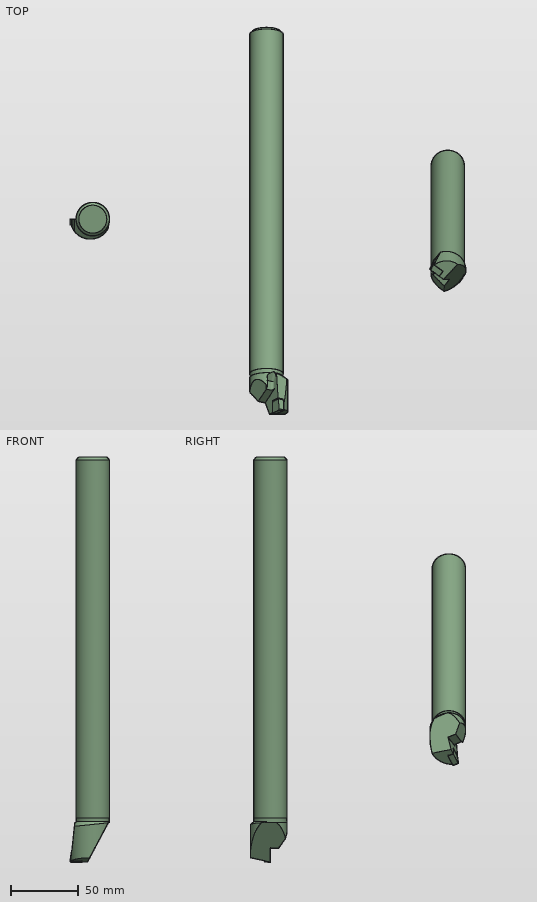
import cadquery as cq
import math

total_length = 301.2
shank_diameter = 25.0
shank_radius = shank_diameter / 2
end_chamfer = 2.0

neck_diameter = 24.7
neck_bottom = 29.8
neck_top = 33.0

head_radius = 14.9
head_offset = 1.8
shoulder_top = 30.5
shoulder_drop = 0.85
shoulder_outer_radius = 19.5
flank_top_x, flank_top_z = -13.5, 28.5
flank_low_x, flank_low_z = -16.3, 2.7
back_top_x, back_top_z = 12.7, 31.5
back_low_x, back_low_z = -3.0, 2.0
bottom_height = 0.3
bottom_rise = 0.22

flute_width = 6.3
flute_floor_x = -9.0
flute_mouth_x, flute_mouth_z = -12.5, 31.3
flute_floor_top = 24.5
flute_floor_bottom = 17.5
flute_exit_x, flute_exit_z = 1.5, 10.8
flute_fillet = 1.8

relief_point = (flute_exit_x, flute_width, flute_exit_z)
relief_normal = (-2.7, 7.8, -4.0)

insert_tip_x = -17.02
insert_size = 9.0
insert_thickness = 4.5
insert_nose = 1.0
insert_lean = 1.2
insert_relief = 7.0
clearance_height = 1.0

span = 120.5


def line_at(z, low, high):
    """X of the straight line through two (x, z) points, at height z."""
    return low[0] + (high[0] - low[0]) * (z - low[1]) / (high[1] - low[1])


def side_prism(points, y_start, y_end):
    """Prism with an (x, z) outline, reaching from y_start to y_end."""
    return (
        cq.Workplane("XZ", origin=(0, y_end, 0))
        .polyline(points).close()
        .extrude(y_end - y_start)
    )


def head_side_outline():
    """Flank and back slopes of the head, carried past its bottom and up into the neck."""
    flank = ((flank_low_x, flank_low_z), (flank_top_x, flank_top_z))
    back = ((back_low_x, back_low_z), (back_top_x, back_top_z))
    return [
        (line_at(0, *flank), 0),
        (line_at(0, *back), 0),
        (back_top_x, back_top_z),
        (shank_radius, neck_top),
        (line_at(neck_top, *flank), neck_top),
    ]


def make_shank():
    """Shank with a chamfered end and the neck below it."""
    shank = (
        cq.Workplane("XY", origin=(0, 0, neck_top))
        .circle(shank_radius).extrude(total_length - neck_top)
        .faces(">Z").chamfer(end_chamfer)
    )
    neck = (
        cq.Workplane("XY", origin=(0, 0, neck_bottom))
        .circle(neck_diameter / 2).extrude(neck_top - neck_bottom)
    )
    return shank.union(neck)


def make_underside(height, rise):
    """Cutter below a plane at the given height on y = 0, rising along -Y."""
    return (
        cq.Workplane("YZ", origin=(-span / 2, 0, 0))
        .polyline([
            (0, height),
            (-span, height + rise * span),
            (-span, -span),
            (0, -span),
        ]).close()
        .extrude(span)
    )


def make_lower_head():
    """Half of the head below the rake plane, with its conical shoulder and sloping underside."""
    cylinder = (
        cq.Workplane("XY").center(-head_offset, 0)
        .circle(head_radius).extrude(neck_top)
    )
    shoulder_edge = shoulder_top - shoulder_drop * (shoulder_outer_radius - neck_diameter / 2)
    shoulder = (
        cq.Workplane("XZ")
        .polyline([
            (0, 0),
            (shoulder_outer_radius, 0),
            (shoulder_outer_radius, shoulder_edge),
            (neck_diameter / 2, shoulder_top),
            (0, shoulder_top),
        ]).close()
        .revolve()
    )
    sides = side_prism(head_side_outline(), -span, 0)
    return cylinder.intersect(shoulder).intersect(sides).cut(
        make_underside(bottom_height, bottom_rise)
    )


def make_flute():
    """Cutter for the chip flute, with a rounded corner along the rake plane."""
    outline = [
        (-span, flute_mouth_z),
        (flute_mouth_x, flute_mouth_z),
        (flute_floor_x, flute_floor_top),
        (flute_floor_x, flute_floor_bottom),
        (flute_exit_x, flute_exit_z),
        (flute_exit_x, -span),
        (-span, -span),
    ]
    floor_middle = (flute_floor_x, 0, (flute_floor_top + flute_floor_bottom) / 2)
    ramp_middle = (
        (flute_mouth_x + flute_floor_x) / 2, 0, (flute_mouth_z + flute_floor_top) / 2
    )
    cutter = side_prism(outline, 0, flute_width)
    floor_edge = cutter.edges(cq.NearestToPointSelector(floor_middle))
    ramp_edge = cutter.edges(cq.NearestToPointSelector(ramp_middle))
    return floor_edge.add(ramp_edge).fillet(flute_fillet)


def make_upper_head():
    """Half of the head above the rake plane, cut by the slanted relief."""
    cylinder = cq.Workplane("XY").circle(shank_radius).extrude(neck_bottom)
    sides = side_prism(head_side_outline(), 0, span)
    relief = (
        cq.Workplane(cq.Plane(origin=relief_point, normal=relief_normal))
        .rect(span, span).extrude(span)
    )
    return cylinder.intersect(sides).cut(relief)


def insert_outline():
    """Face of the insert: its outer edge leans like the flank of the head, with a cut-off tip."""
    inner_x = insert_tip_x + insert_size
    return [
        (insert_tip_x + insert_nose, 0),
        (inner_x, 0),
        (inner_x, insert_size),
        (insert_tip_x + insert_lean, insert_size),
        (insert_tip_x, insert_nose),
    ]


def make_insert():
    """Insert with its top face on the rake plane and a relieved bottom edge."""
    plate = side_prism(insert_outline(), -insert_thickness, 0)
    return plate.cut(make_underside(0, math.tan(math.radians(insert_relief))))


def make_insert_pocket():
    """Cutter for the insert's seat, with a gap over the insert and open below it."""
    pocket_height = insert_size + clearance_height
    inner_x = insert_tip_x + insert_size
    outline = [
        (insert_tip_x - clearance_height, 0),
        (inner_x, 0),
        (inner_x, pocket_height),
        (insert_tip_x - clearance_height, pocket_height),
    ]
    return side_prism(outline, -insert_thickness, 0)


insert = make_insert()
lower_head = make_lower_head().cut(make_insert_pocket())
bar = make_shank().union(make_upper_head()).cut(make_flute()).union(lower_head)

result = cq.Compound.makeCompound([bar.val(), insert.val()])